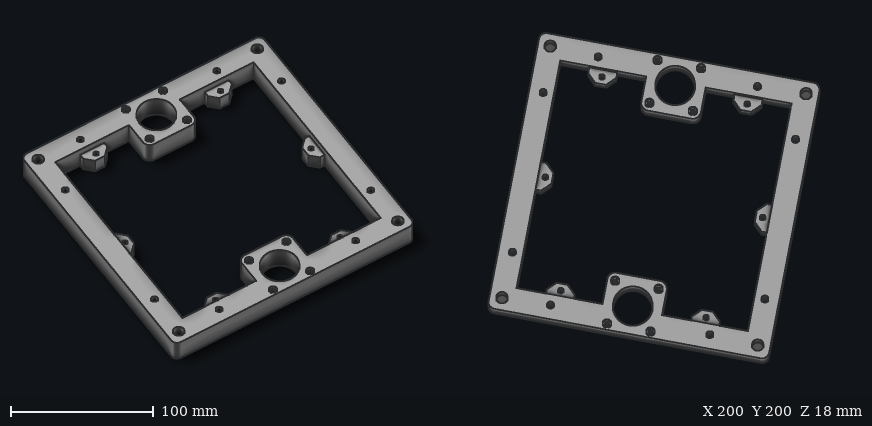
import cadquery as cq

frame_side = 200.0
frame_height = 18.0
opening_side = 165.0
frame_corner_radius = 5.0

corner_hole_diameter = 8.2
corner_hole_spacing = 182.5
corner_hole_depth = 12.0

bar_hole_diameter = 5.0
bar_hole_row_spacing = 180.0
end_bar_hole_spacing = 115.8
side_bar_hole_spacing = 113.5

pad_center_offset = 80.0
pad_width = 42.5
pad_corner_radius = 5.5
pad_bore_diameter = 28.0
pad_screw_spacing = 31.0
pad_screw_diameter = 3.2
pad_counterbore_diameter = 6.0
pad_counterbore_depth = 3.0

tab_width = 20.0
tab_reach = 10.0
tab_chamfer = 6.0
tab_height = 12.0
tab_hole_diameter = 4.0
tab_hole_reach = tab_reach / 2
side_tab_offset = 51.8

frame_edge = frame_side / 2
opening_edge = opening_side / 2
pad_inner_edge = pad_center_offset - pad_width / 2


def make_frame():
    outer = (
        cq.Workplane("XY")
        .rect(frame_side, frame_side)
        .extrude(frame_height)
        .edges("|Z")
        .fillet(frame_corner_radius)
    )
    opening = cq.Workplane("XY").rect(opening_side, opening_side).extrude(frame_height)
    return outer.cut(opening)


def make_pad():
    """Pad on the +X bar, running from its rounded inner edge to the outside of the frame."""
    return (
        cq.Workplane("XY")
        .center((pad_inner_edge + frame_edge) / 2, 0)
        .rect(frame_edge - pad_inner_edge, pad_width)
        .extrude(frame_height)
        .edges("|Z and <X")
        .fillet(pad_corner_radius)
    )


def make_tab():
    """Tab on the inner face of the +X bar, centred on the X axis."""
    tip = opening_edge - tab_reach
    half_width = tab_width / 2
    body = (
        cq.Workplane("XY")
        .moveTo(opening_edge, -half_width)
        .lineTo(tip + tab_chamfer, -half_width)
        .lineTo(tip, -half_width + tab_chamfer)
        .lineTo(tip, half_width - tab_chamfer)
        .lineTo(tip + tab_chamfer, half_width)
        .lineTo(opening_edge, half_width)
        .close()
        .extrude(tab_height)
    )
    hole = (
        cq.Workplane("XY")
        .center(opening_edge - tab_hole_reach, 0)
        .circle(tab_hole_diameter / 2)
        .extrude(tab_height)
    )
    return body.cut(hole)


def turn(body, angle):
    """The body turned about the vertical centre axis of the frame."""
    return body.rotate((0, 0, 0), (0, 0, 1), angle)


def top_plane(body, center_x=0):
    """Workplane on the top face, with its origin on the X axis at center_x."""
    return body.faces(">Z").workplane(origin=(center_x, 0, frame_height))


result = make_frame()
for half_turn in (0, 180):
    result = result.union(turn(make_pad(), half_turn))
    for offset in (-side_tab_offset, side_tab_offset):
        side_tab = make_tab().translate((0, offset, 0))
        result = result.union(turn(side_tab, half_turn))
    result = result.union(turn(make_tab(), half_turn + 90))

result = (
    top_plane(result)
    .rarray(corner_hole_spacing, corner_hole_spacing, 2, 2)
    .hole(corner_hole_diameter, corner_hole_depth)
)

for spacing_x, spacing_y in (
    (end_bar_hole_spacing, bar_hole_row_spacing),
    (bar_hole_row_spacing, side_bar_hole_spacing),
):
    result = top_plane(result).rarray(spacing_x, spacing_y, 2, 2).hole(bar_hole_diameter)

for pad_center in (-pad_center_offset, pad_center_offset):
    result = top_plane(result, pad_center).hole(pad_bore_diameter)
    result = (
        top_plane(result, pad_center)
        .rarray(pad_screw_spacing, pad_screw_spacing, 2, 2)
        .cboreHole(pad_screw_diameter, pad_counterbore_diameter, pad_counterbore_depth)
    )